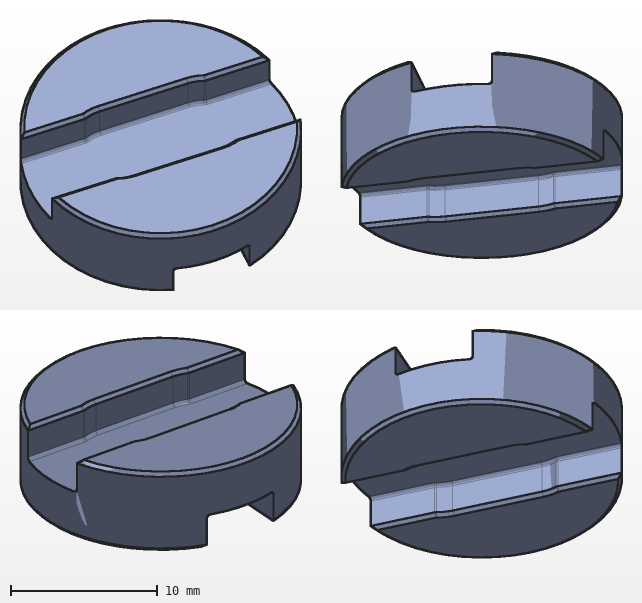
import cadquery as cq
import math

disc_diameter = 19.1
disc_height = 6.11
edge_chamfer = 0.27

slot_width = 5.6
slot_depth = 2.55
floor_fillet = 0.25

relief_width = 6.05
relief_straight = 6.5
corner_fillet = 0.38

selection_reach = 0.1


def slot_cutter():
    """Cutter for the top slot along Y, with its lower edges rounded."""
    floor_z = disc_height / 2 - slot_depth
    cutter_length = disc_diameter * 1.2
    channel = (
        cq.Workplane("XY")
        .workplane(offset=floor_z)
        .rect(slot_width, cutter_length)
        .extrude(slot_depth)
    )
    relief = (
        cq.Workplane("XY")
        .workplane(offset=floor_z)
        .slot2D(relief_straight + relief_width, relief_width, 90)
        .extrude(slot_depth)
    )
    cutter = channel.union(relief).clean()

    corner_y = relief_straight / 2 + math.sqrt(relief_width**2 - slot_width**2) / 2
    for side_x in (-slot_width / 2, slot_width / 2):
        for end_y in (-corner_y, corner_y):
            corner = cq.selectors.BoxSelector(
                (side_x - selection_reach, end_y - selection_reach, -disc_height),
                (side_x + selection_reach, end_y + selection_reach, disc_height),
            )
            cutter = cutter.edges("|Z").edges(corner).fillet(corner_fillet)

    return cutter.faces("<Z").edges().fillet(floor_fillet)


disc = cq.Workplane("XY").circle(disc_diameter / 2).extrude(disc_height / 2, both=True)

top_slot = slot_cutter()
bottom_slot = top_slot.rotate((0, 0, 0), (1, 0, 0), 180).rotate((0, 0, 0), (0, 0, 1), 90)
slotted = disc.cut(top_slot).cut(bottom_slot)

result = slotted.faces("<Z or >Z").edges().chamfer(edge_chamfer)